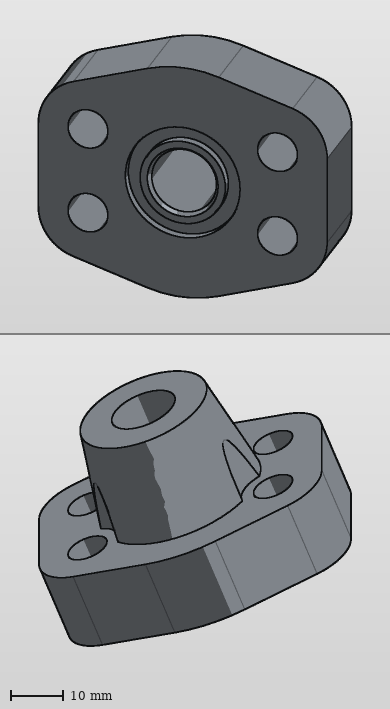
import cadquery as cq
import math

bolt_spacing_x = 38.05
bolt_spacing_z = 17.5
corner_radius = 10.0
crown_radius = 24.0
plate_thickness = 16.0
bolt_hole_diameter = 8.0

neck_length = 20.0
neck_base_diameter = 33.0
neck_end_diameter = 26.0
neck_flare_sag = 0.35
bolt_head_diameter = 13.0

bore_diameter = 13.0
bore_mouth_diameter = 14.2
bore_mouth_depth = 0.9
groove_inner_diameter = 17.1
groove_outer_diameter = 23.0
groove_depth = 2.0

bolt_x = bolt_spacing_x / 2
bolt_z = bolt_spacing_z / 2
bolt_centres = [(sx * bolt_x, sz * bolt_z) for sx in (-1, 1) for sz in (-1, 1)]


def section_at(y):
    """Plane across the bore axis, with local axes +X and +Z."""
    return cq.Workplane(cq.Plane(origin=(0, y, 0), xDir=(1, 0, 0), normal=(0, -1, 0)))


def cylinder(y_start, y_end, diameter, centres=((0, 0),)):
    return section_at(y_end).pushPoints(centres).circle(diameter / 2).extrude(y_end - y_start)


def make_plate():
    centre_angle = math.atan2(bolt_z, bolt_x)
    tangent_turn = math.acos((crown_radius - corner_radius) / math.hypot(bolt_x, bolt_z))
    tangent_angle = centre_angle + tangent_turn
    corner_mid_angle = tangent_angle / 2

    crown_x = crown_radius * math.cos(tangent_angle)
    crown_z = crown_radius * math.sin(tangent_angle)
    corner_x = bolt_x + corner_radius * math.cos(tangent_angle)
    corner_z = bolt_z + corner_radius * math.sin(tangent_angle)
    mid_x = bolt_x + corner_radius * math.cos(corner_mid_angle)
    mid_z = bolt_z + corner_radius * math.sin(corner_mid_angle)
    side_x = bolt_x + corner_radius

    outline = (
        section_at(plate_thickness)
        .moveTo(-crown_x, crown_z)
        .threePointArc((0, crown_radius), (crown_x, crown_z))
        .lineTo(corner_x, corner_z)
        .threePointArc((mid_x, mid_z), (side_x, bolt_z))
        .lineTo(side_x, -bolt_z)
        .threePointArc((mid_x, -mid_z), (corner_x, -corner_z))
        .lineTo(crown_x, -crown_z)
        .threePointArc((0, -crown_radius), (-crown_x, -crown_z))
        .lineTo(-corner_x, -corner_z)
        .threePointArc((-mid_x, -mid_z), (-side_x, -bolt_z))
        .lineTo(-side_x, bolt_z)
        .threePointArc((-mid_x, mid_z), (-corner_x, corner_z))
        .close()
    )
    return outline.extrude(plate_thickness)


def make_neck():
    mid_radius = (neck_base_diameter + neck_end_diameter) / 4
    neck = (
        section_at(plate_thickness)
        .ellipse(neck_base_diameter / 2, neck_base_diameter / 2)
        .workplane(offset=-neck_length / 2)
        .ellipse(mid_radius, mid_radius - neck_flare_sag)
        .workplane(offset=-neck_length / 2)
        .ellipse(neck_end_diameter / 2, neck_end_diameter / 2)
        .loft()
    )
    neck_end = plate_thickness + neck_length
    return neck.cut(cylinder(plate_thickness, neck_end, bolt_head_diameter, bolt_centres))


def make_bore():
    bore = cylinder(0, plate_thickness + neck_length, bore_diameter)
    mouth = (
        section_at(0)
        .circle(bore_mouth_diameter / 2)
        .workplane(offset=-bore_mouth_depth)
        .circle(bore_diameter / 2)
        .loft()
    )
    return bore.union(mouth)


def make_seal_groove():
    outer = cylinder(0, groove_depth, groove_outer_diameter)
    return outer.cut(cylinder(0, groove_depth, groove_inner_diameter))


bolt_holes = cylinder(0, plate_thickness, bolt_hole_diameter, bolt_centres)
result = make_plate().union(make_neck()).cut(bolt_holes).cut(make_bore()).cut(make_seal_groove())